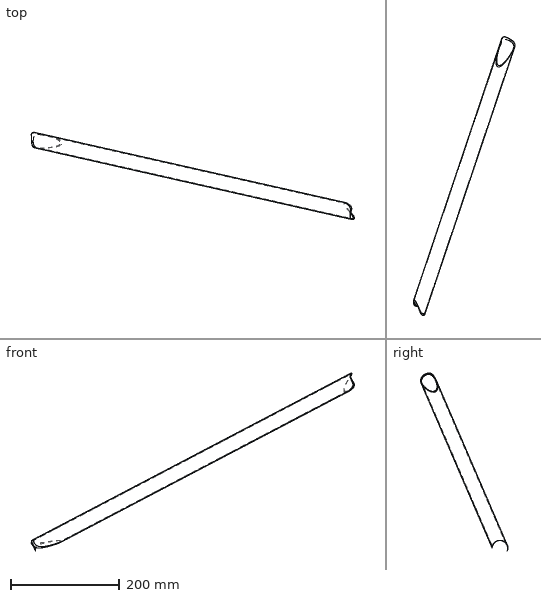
import cadquery as cq
import math

tube_radius = 14.0
wall = 1.5
axis = cq.Vector(1.0, -0.2259, 0.524).normalized()
lower_end = -341.2
upper_end = 351.0

lower_mate_radius = 14.25
lower_mate_axis = cq.Vector(1.0, 0.0, 0.0)
lower_mate_y = 65.8
lower_mate_z = -154.9

upper_mate_radius = 15.9
upper_mate_distance = 350.9
upper_mate_offset = 0.4
upper_mate_turn = -55.0
upper_mate_lean = -45.0

mate_length = 300.0

side = axis.cross(cq.Vector(0, 0, 1)).normalized()
up = side.cross(axis)


def half_shell(bulge):
    """One half of the tube wall; bulge is +1 for the upper half and -1 for the lower."""
    bore_radius = tube_radius - wall
    start = cq.Plane(
        origin=(axis * lower_end).toTuple(),
        xDir=side.toTuple(),
        normal=axis.toTuple(),
    )
    return (
        cq.Workplane(start)
        .moveTo(tube_radius, 0)
        .threePointArc((0, bulge * tube_radius), (-tube_radius, 0))
        .lineTo(-bore_radius, 0)
        .threePointArc((0, bulge * bore_radius), (bore_radius, 0))
        .close()
        .extrude(upper_end - lower_end)
    )


def mate(radius, centre, direction):
    """A solid round bar, centred lengthwise on the given point."""
    base = centre - direction * (mate_length / 2)
    return cq.Workplane(cq.Solid.makeCylinder(radius, mate_length, base, direction))


def lower_mate():
    centre = cq.Vector(axis.x * lower_end, lower_mate_y, lower_mate_z)
    return mate(lower_mate_radius, centre, lower_mate_axis)


def upper_mate():
    turn = math.radians(upper_mate_turn)
    lean = math.radians(upper_mate_lean)
    gap = side * math.cos(turn) + up * math.sin(turn)
    direction = axis.cross(gap) * math.cos(lean) + axis * math.sin(lean)
    centre = axis * upper_mate_distance + gap * upper_mate_offset
    return mate(upper_mate_radius, centre, direction)


tube = half_shell(1).union(half_shell(-1), clean=False)
coped = tube.cut(lower_mate(), clean=False).cut(upper_mate(), clean=False)

result = cq.Workplane(max(coped.solids().vals(), key=lambda piece: piece.Volume()))